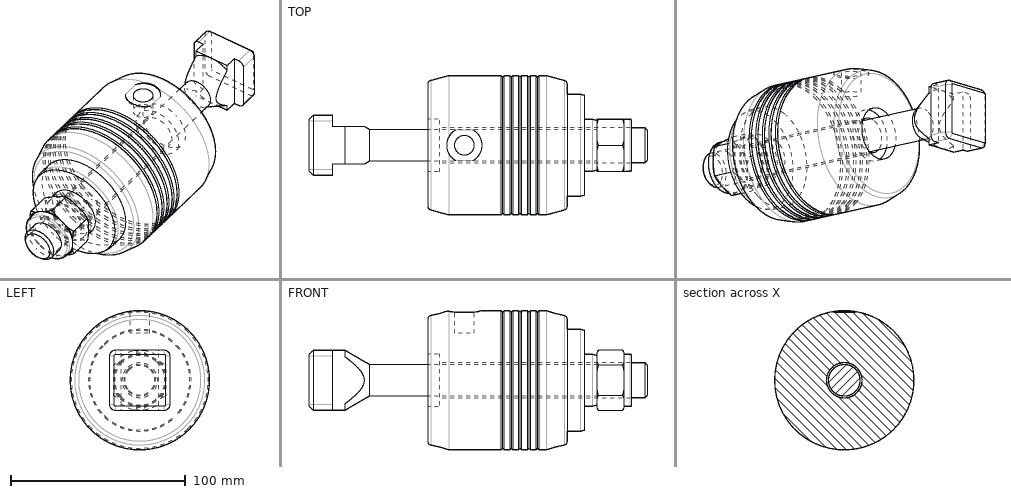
import cadquery as cq
import math


overall_length = 194.0
neck_start = 13.5
neck_end = 20.8
shank_start = 34.7
sleeve_start = 68.0
sleeve_length = 80.0
sleeve_end = sleeve_start + sleeve_length
disc_length = 9.9
collar_length = 7.0
disc_end = sleeve_end + disc_length
nut_start = disc_end + collar_length
hex_length = 15.7
nut_collar_length = 4.3
hex_end = nut_start + hex_length
nut_end = hex_end + nut_collar_length

head_width = 34.5
head_corner_radius = 3.3
head_chamfer = 2.5
neck_width = 21.7
shank_radius = 9.1
thread_radius = 10.0
thread_chamfer = 1.5

taper_angle = 15
taper_slope = math.tan(math.radians(taper_angle))

sleeve_radius = sleeve_length / 2
bore_radius = thread_radius
counterbore_radius = 15.0
counterbore_depth = 6.5
sleeve_taper_length = 12.0
sleeve_edge_fillet = 2.3

groove_count = 5
first_groove_centre = 111.0
last_groove_centre = 131.0
groove_pitch = (last_groove_centre - first_groove_centre) / (groove_count - 1)
groove_width = 1.7
groove_depth = groove_width / 2

port_centre = 89.0
port_face_radius = 10.0
port_face_depth = 1.0
port_hole_radius = 5.6
port_hole_depth = 12.0

disc_radius = 29.3
collar_radius = counterbore_radius
piston_taper_length = 2.3

hex_sides = 6
across_flats = 30.0
nut_edge_fillet = 1.0
hex_chamfer_radius = 15.7
hex_chamfer_angle = 30
hex_chamfer_slope = 1 / math.tan(math.radians(hex_chamfer_angle))


def cylinder(start, end, radius):
    """A cylinder on the X axis from start to end."""
    return cq.Workplane("YZ", origin=(start, 0, 0)).circle(radius).extrude(end - start)


def turned(profile):
    """Revolve a profile of (x, radius) points about the X axis."""
    return cq.Workplane("XY").polyline(profile).close().revolve(360, (0, 0, 0), (1, 0, 0))


def make_t_bolt():
    head = (
        cq.Workplane("YZ")
        .rect(head_width, head_width)
        .extrude(neck_start)
        .edges("|X")
        .fillet(head_corner_radius)
        .faces("<X")
        .chamfer(head_chamfer)
    )
    neck = (
        cq.Workplane("YZ", origin=(neck_start, 0, 0))
        .rect(neck_width, head_width)
        .extrude(neck_end - neck_start)
    )

    cone = turned([
        (neck_end, 0),
        (neck_end, head_width / 2),
        (shank_start, shank_radius),
        (shank_start, 0),
    ])
    flat_sides = (
        cq.Workplane("YZ", origin=(neck_end, 0, 0))
        .rect(neck_width, head_width)
        .extrude(shank_start - neck_end)
    )

    shank = cylinder(shank_start, nut_start, shank_radius)
    thread = (
        cylinder(nut_start, overall_length, thread_radius)
        .faces(">X")
        .chamfer(thread_chamfer)
    )
    return head.union(neck).union(cone.intersect(flat_sides)).union(shank).union(thread)


def cut_grooves(sleeve):
    for index in range(groove_count):
        centre = first_groove_centre + index * groove_pitch
        v_groove = turned([
            (centre - groove_width / 2, sleeve_radius),
            (centre, sleeve_radius - groove_depth),
            (centre + groove_width / 2, sleeve_radius),
        ])
        sleeve = sleeve.cut(v_groove)
    return sleeve


def cut_oil_port(sleeve):
    face_height = sleeve_radius - port_face_depth
    port = cq.Workplane("XY", origin=(port_centre, 0, face_height))
    spot_face = port.circle(port_face_radius).extrude(2 * port_face_depth)
    hole = port.circle(port_hole_radius).extrude(-port_hole_depth)
    return sleeve.cut(spot_face).cut(hole)


def make_sleeve():
    end_radius = sleeve_radius - sleeve_taper_length * taper_slope
    sleeve = turned([
        (sleeve_start, 0),
        (sleeve_start, end_radius),
        (sleeve_start + sleeve_taper_length, sleeve_radius),
        (sleeve_end - sleeve_taper_length, sleeve_radius),
        (sleeve_end, end_radius),
        (sleeve_end, 0),
    ])
    sleeve = sleeve.faces("<X or >X").edges().fillet(sleeve_edge_fillet)
    sleeve = sleeve.cut(cylinder(sleeve_start, sleeve_end, bore_radius))
    counterbore_end = sleeve_start + counterbore_depth
    sleeve = sleeve.cut(cylinder(sleeve_start, counterbore_end, counterbore_radius))
    return cut_oil_port(cut_grooves(sleeve))


def make_piston():
    taper_drop = piston_taper_length * taper_slope
    return turned([
        (sleeve_end, bore_radius),
        (sleeve_end, disc_radius),
        (disc_end - piston_taper_length, disc_radius),
        (disc_end, disc_radius - taper_drop),
        (disc_end, collar_radius),
        (nut_start - piston_taper_length, collar_radius),
        (nut_start, collar_radius - taper_drop),
        (nut_start, bore_radius),
    ])


def make_nut():
    across_corners = across_flats / math.cos(math.pi / hex_sides)
    hexagon = (
        cq.Workplane("YZ", origin=(nut_start, 0, 0))
        .transformed(rotate=(0, 0, 90))
        .polygon(hex_sides, across_corners)
        .extrude(hex_length)
    )

    middle = (nut_start + hex_end) / 2
    middle_radius = hex_chamfer_radius + hex_chamfer_slope * hex_length / 2
    double_cone = turned([
        (nut_start, 0),
        (nut_start, hex_chamfer_radius),
        (middle, middle_radius),
        (hex_end, hex_chamfer_radius),
        (hex_end, 0),
    ])
    collar = (
        cylinder(hex_end, nut_end, across_flats / 2)
        .faces(">X")
        .edges()
        .fillet(nut_edge_fillet)
    )
    blank = hexagon.intersect(double_cone).union(collar)
    return blank.cut(cylinder(nut_start, nut_end, thread_radius))


t_bolt = make_t_bolt()
sleeve = make_sleeve()
piston = make_piston()
nut = make_nut()

result = cq.Compound.makeCompound([t_bolt.val(), sleeve.val(), piston.val(), nut.val()])